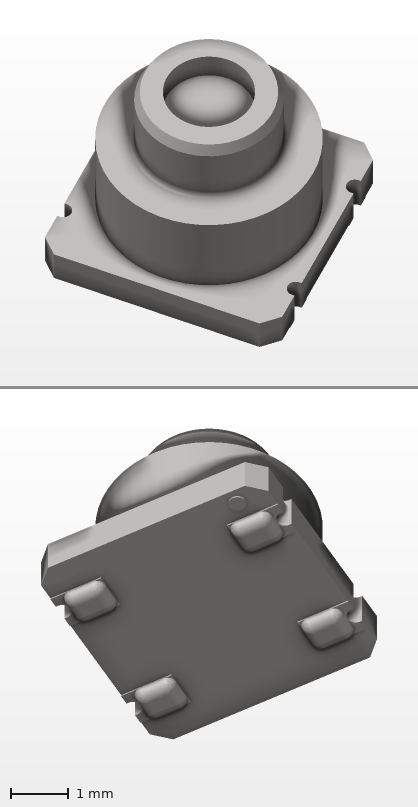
import cadquery as cq

plate_side = 4.5
plate_corner_chamfer = 0.3
plate_thickness = 0.63

body_diameter = 3.95
body_height = 1.61
neck_diameter = 2.6
neck_root_fillet = 0.1
tip_chamfer_radial = 0.1
tip_chamfer_height = 0.2
bore_diameter = 1.6
bore_depth = 0.5

slot_width = 0.31
slot_depth = 0.2
contact_offset_y = 1.27
pad_length = 1.0
pad_width = 0.7
pad_thickness = 0.03
bump_length = pad_length - slot_depth
bump_height = 0.22
bump_corner_radius = 0.16
bump_rim_fillet = 0.21

dot_diameter = 0.31
dot_offset_y = 1.97

overall_height = 3.71

plate_half = plate_side / 2
pad_bottom = -pad_thickness
bump_bottom = -bump_height
body_top = plate_thickness + body_height
neck_top = bump_bottom + overall_height
bump_center_x = plate_half - slot_depth - bump_length / 2


def make_plate():
    """Square plate with its four upright corners chamfered."""
    plate = cq.Workplane("XY").rect(plate_side, plate_side).extrude(plate_thickness)
    return plate.edges("|Z").chamfer(plate_corner_chamfer)


def make_barrel():
    """Body and neck turned about Z, with a root fillet, a tapered tip and a blind bore."""
    body_radius = body_diameter / 2
    neck_radius = neck_diameter / 2
    bore_radius = bore_diameter / 2
    bore_floor = neck_top - bore_depth
    profile = (
        cq.Workplane("XZ")
        .moveTo(0, plate_thickness)
        .lineTo(body_radius, plate_thickness)
        .lineTo(body_radius, body_top)
        .lineTo(neck_radius + neck_root_fillet, body_top)
        .radiusArc((neck_radius, body_top + neck_root_fillet), neck_root_fillet)
        .lineTo(neck_radius, neck_top - tip_chamfer_height)
        .lineTo(neck_radius - tip_chamfer_radial, neck_top)
        .lineTo(bore_radius, neck_top)
        .lineTo(bore_radius, bore_floor)
        .lineTo(0, bore_floor)
        .close()
    )
    return profile.revolve(360, (0, 0, 0), (0, 1, 0))


def make_pad(side_x, side_y):
    """Thin contact pad reaching in from the plate edge."""
    center_x = side_x * (plate_half - pad_length / 2)
    center_y = side_y * contact_offset_y
    return (
        cq.Workplane("XY")
        .center(center_x, center_y)
        .rect(pad_length, pad_width)
        .extrude(-pad_thickness)
    )


def make_bump(side_x, side_y):
    """Solder bump on the plate's bottom face; the lower rim is rounded before the corners."""
    return (
        cq.Workplane("XY")
        .center(side_x * bump_center_x, side_y * contact_offset_y)
        .rect(bump_length, pad_width)
        .extrude(-bump_height)
        .faces("<Z")
        .edges()
        .fillet(bump_rim_fillet)
        .edges("|Z")
        .fillet(bump_corner_radius)
    )


def make_slot(side_x, side_y):
    """Round-ended slot through the plate and pad, open at the plate edge."""
    return (
        cq.Workplane("XY", origin=(0, 0, pad_bottom))
        .center(side_x * plate_half, side_y * contact_offset_y)
        .slot2D(2 * slot_depth, slot_width)
        .extrude(pad_thickness + plate_thickness)
    )


def make_dot():
    """Flat round orientation mark on the underside."""
    return (
        cq.Workplane("XY")
        .center(-bump_center_x, dot_offset_y)
        .circle(dot_diameter / 2)
        .extrude(-pad_thickness)
    )


result = make_plate().union(make_barrel()).union(make_dot())
for side_x in (-1, 1):
    for side_y in (-1, 1):
        result = result.union(make_pad(side_x, side_y))
        result = result.cut(make_slot(side_x, side_y))
        result = result.union(make_bump(side_x, side_y))